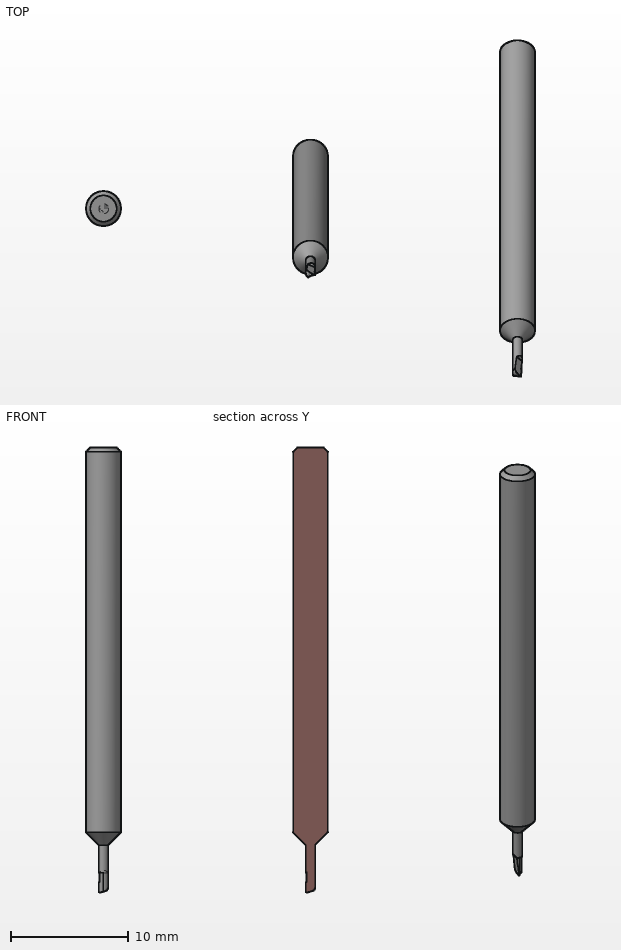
import cadquery as cq

total_length = 38.0
shank_radius = 1.5
neck_radius = 0.4
top_chamfer = 0.38
neck_top = 4.05
shoulder_height = shank_radius - neck_radius
shoulder_top = neck_top + shoulder_height

clearance_top = 1.95
clearance_step = 1.7
back_at_step = 0.23
back_at_tip = 0.05
flute_top = clearance_step
flute_mid = (-0.15, -0.15)
edge_top = 0.9
edge_projection = 0.08
tip_x = -0.3
edge_corner_height = 0.08
end_x = 0.08
end_height = 0.1
round_top = 0.45
round_mid = (0.3, 0.23)
margin = 0.38
outside = neck_radius + margin


def turned_body():
    """Revolve the chamfered shank, conical shoulder and thin neck."""
    return (
        cq.Workplane("XZ")
        .moveTo(0, 0)
        .lineTo(neck_radius, 0)
        .lineTo(neck_radius, neck_top)
        .lineTo(shank_radius, shoulder_top)
        .lineTo(shank_radius, total_length - top_chamfer)
        .lineTo(shank_radius - top_chamfer, total_length)
        .lineTo(0, total_length)
        .close()
        .revolve(360, (0, 0, 0), (0, 1, 0))
    )


def back_clearance():
    """Material removed behind the tip, on the +Y side."""
    return (
        cq.Workplane("YZ")
        .polyline([
            (back_at_tip, 0),
            (back_at_step, clearance_step),
            (neck_radius, clearance_top),
            (outside, clearance_top),
            (outside, -margin),
            (back_at_tip, -margin),
        ])
        .close()
        .extrude(outside, both=True)
    )


def rake_flute():
    """Concave flute in the front of the -X side, running out of the tip."""
    return (
        cq.Workplane("XY")
        .workplane(offset=-margin)
        .moveTo(-outside, 0)
        .lineTo(-neck_radius, 0)
        .threePointArc(flute_mid, (0, -neck_radius))
        .lineTo(0, -outside)
        .lineTo(-outside, -outside)
        .close()
        .extrude(flute_top + margin)
    )


def edge_relief():
    """Shallow side notch that leaves the cutting edge standing proud below it."""
    return (
        cq.Workplane("XY")
        .workplane(offset=edge_top)
        .rect(2 * (neck_radius - edge_projection), 2 * outside)
        .extrude(flute_top - edge_top)
        .translate((-2 * (neck_radius - edge_projection), 0, 0))
    )


def end_relief():
    """Material below the pointed, rounded end of the tip."""
    return (
        cq.Workplane("XZ")
        .moveTo(-neck_radius, edge_corner_height)
        .lineTo(tip_x, 0)
        .lineTo(end_x, end_height)
        .threePointArc(round_mid, (neck_radius, round_top))
        .lineTo(outside, round_top)
        .lineTo(outside, -margin)
        .lineTo(-outside, -margin)
        .lineTo(-outside, edge_corner_height)
        .close()
        .extrude(outside, both=True)
    )


result = (
    turned_body()
    .cut(back_clearance())
    .cut(rake_flute())
    .cut(edge_relief())
    .cut(end_relief())
)